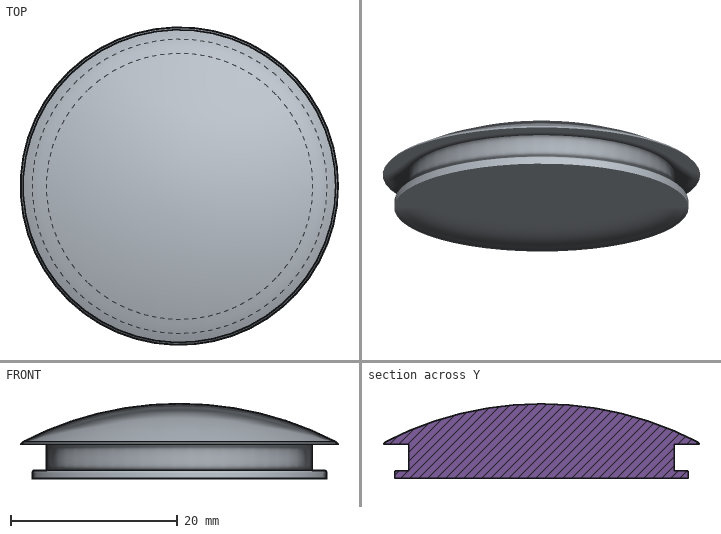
import cadquery as cq
import math

cap_diameter = 38.2
total_height = 9.0

flange_diameter = 35.4
flange_height = 1.0
flange_fillet = 0.3

neck_diameter = 32.0
neck_top = 4.13

rim_height = 0.3
rim_inset = 0.3

cap_radius = cap_diameter / 2
flange_radius = flange_diameter / 2
neck_radius = neck_diameter / 2
dome_base_radius = cap_radius - rim_inset
dome_base = neck_top + rim_height
dome_rise = total_height - dome_base

sphere_radius = (dome_base_radius**2 + dome_rise**2) / (2 * dome_rise)
sphere_center = total_height - sphere_radius
half_dome_angle = math.asin(dome_base_radius / sphere_radius) / 2
dome_midpoint = (
    sphere_radius * math.sin(half_dome_angle),
    sphere_center + sphere_radius * math.cos(half_dome_angle),
)

fillet_offset = flange_fillet * (1 - math.sqrt(0.5))
fillet_midpoint = (flange_radius - fillet_offset, flange_height - fillet_offset)

profile = (
    cq.Workplane("XZ")
    .lineTo(flange_radius, 0)
    .lineTo(flange_radius, flange_height - flange_fillet)
    .threePointArc(fillet_midpoint, (flange_radius - flange_fillet, flange_height))
    .lineTo(neck_radius, flange_height)
    .lineTo(neck_radius, neck_top)
    .lineTo(cap_radius, neck_top)
    .lineTo(dome_base_radius, dome_base)
    .threePointArc(dome_midpoint, (0, total_height))
    .close()
)
result = profile.revolve(360, (0, 0), (0, 1))